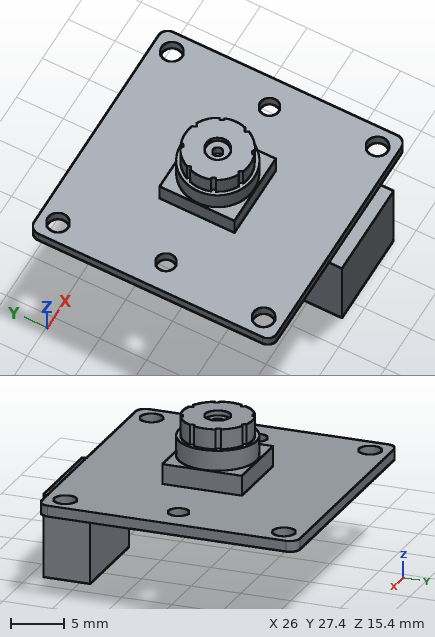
import cadquery as cq

BOARD_SIDE = 26.0
BOARD_THICKNESS = 1.1
BOARD_CORNER_RADIUS = 1.0
CORNER_HOLE_DIAMETER = 2.2
CORNER_HOLE_SPACING = 22.0
SIDE_HOLE_DIAMETER = 2.0
SIDE_HOLE_SPACING = 20.0

BASE_SIDE = 8.0
BASE_HEIGHT = 2.0
BARREL_DIAMETER = 7.8
BARREL_HEIGHT = 2.0
CAP_DIAMETER = 7.0
CAP_HEIGHT = 2.0
NOTCH_COUNT = 8
NOTCH_DIAMETER = 0.5
RECESS_DIAMETER = 2.5
RECESS_DEPTH = 0.5
APERTURE_DIAMETER = 1.0
APERTURE_DEPTH = 1.0

CONNECTOR_LENGTH = 10.0
CONNECTOR_WIDTH = 4.7
CONNECTOR_HEIGHT = 8.34
CONNECTOR_CENTER_X = 3.0
CONNECTOR_OVERHANG = 1.4


def make_board():
    """Rounded square plate with four corner holes and two side holes."""
    return (
        cq.Workplane("XY")
        .rect(BOARD_SIDE, BOARD_SIDE)
        .extrude(BOARD_THICKNESS)
        .edges("|Z")
        .fillet(BOARD_CORNER_RADIUS)
        .faces(">Z")
        .workplane()
        .rect(CORNER_HOLE_SPACING, CORNER_HOLE_SPACING, forConstruction=True)
        .vertices()
        .hole(CORNER_HOLE_DIAMETER)
        .faces(">Z")
        .workplane()
        .rarray(SIDE_HOLE_SPACING, 1, 2, 1)
        .hole(SIDE_HOLE_DIAMETER)
    )


def make_cap(bottom_z):
    """Lens cap with round grip notches on its rim and a stepped aperture."""
    cap_radius = CAP_DIAMETER / 2
    half_notch_pitch = 180 / NOTCH_COUNT
    cap = cq.Workplane("XY", origin=(0, 0, bottom_z)).circle(cap_radius).extrude(CAP_HEIGHT)
    notches = (
        cq.Workplane("XY", origin=(0, 0, bottom_z))
        .polarArray(cap_radius, half_notch_pitch, 360, NOTCH_COUNT)
        .circle(NOTCH_DIAMETER / 2)
        .extrude(CAP_HEIGHT)
    )
    return (
        cap.cut(notches)
        .faces(">Z")
        .workplane(origin=(0, 0, 0))
        .cboreHole(APERTURE_DIAMETER, RECESS_DIAMETER, RECESS_DEPTH, RECESS_DEPTH + APERTURE_DEPTH)
    )


def make_lens():
    """Square base, barrel and cap stacked on the top face of the board."""
    barrel_z = BOARD_THICKNESS + BASE_HEIGHT
    cap_z = barrel_z + BARREL_HEIGHT
    base = (
        cq.Workplane("XY", origin=(0, 0, BOARD_THICKNESS))
        .rect(BASE_SIDE, BASE_SIDE)
        .extrude(BASE_HEIGHT)
    )
    barrel = (
        cq.Workplane("XY", origin=(0, 0, barrel_z))
        .circle(BARREL_DIAMETER / 2)
        .extrude(BARREL_HEIGHT)
    )
    return base.union(barrel).union(make_cap(cap_z))


def make_connector():
    """Plain block hanging from the underside of the board."""
    front_y = -BOARD_SIDE / 2 - CONNECTOR_OVERHANG
    center_y = front_y + CONNECTOR_WIDTH / 2
    return (
        cq.Workplane("XY", origin=(CONNECTOR_CENTER_X, center_y, 0))
        .rect(CONNECTOR_LENGTH, CONNECTOR_WIDTH)
        .extrude(-CONNECTOR_HEIGHT)
    )


result = make_board().union(make_lens()).union(make_connector())